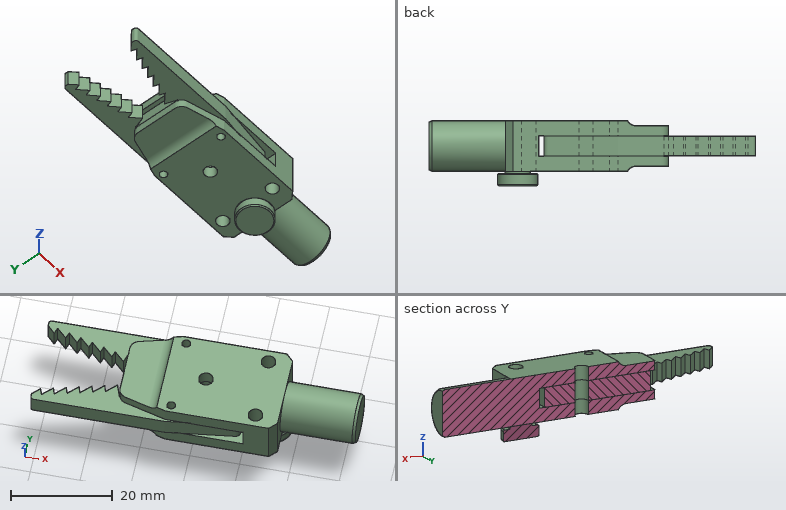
import cadquery as cq
import math


total_length = 64.3
housing_front = 17.1
housing_rear = 49.25
housing_width = 18.0
housing_height = 10.0
half_width = housing_width / 2
half_height = housing_height / 2

nose_taper_end = 27.0
nose_taper_angle = 15.0
nose_corner_radius = 2.0
nose_height = 8.0
nose_step_end = 25.2
nose_step_radius = 2.0
rear_corner_chamfer = 1.5

slot_end = 42.65
slot_height = 4.0

centre_hole_diameter = 2.8
centre_hole_x = 33.4
mounting_hole_diameter = 2.8
mounting_hole_x = 44.6
mounting_hole_y = 6.4
pivot_hole_diameter = 1.7
pivot_hole_x = 27.9
pivot_hole_y = 7.45

shank_diameter = housing_height
shank_chamfer_length = 0.6
shank_chamfer_depth = 0.3

jaw_thickness = 3.85
jaw_outer_y = 9.45
jaw_tip_radius = 0.65
jaw_tip_inner_y = 8.2
jaw_bend_x = 27.0
jaw_tail_end = 41.7
jaw_tail_angle = 7.5
jaw_tail_radius = 1.0

tooth_count = 7
first_tooth_x = 1.55
first_tooth_y = 6.7
tooth_pitch = 2.45
tooth_shift = 0.65
tooth_back_length = 0.45
tooth_back_rise = 1.3
last_tooth_back_scale = 2.0

spacer_front = 18.1
spacer_width = 10.8

knob_x = 46.8
knob_diameter = 8.0
knob_height = 2.5
knob_edge_chamfer = 0.25
collar_diameter = 5.0
collar_height = 0.4


def make_housing_block():
    """Plate outline with a tapered, rounded nose and chamfered rear corners."""
    taper_length = nose_taper_end - housing_front
    nose_half_width = half_width - taper_length * math.tan(math.radians(nose_taper_angle))
    block = (
        cq.Workplane("XY")
        .polyline([
            (housing_front, -nose_half_width),
            (nose_taper_end, -half_width),
            (housing_rear, -half_width),
            (housing_rear, half_width),
            (nose_taper_end, half_width),
            (housing_front, nose_half_width),
        ])
        .close()
        .extrude(half_height, both=True)
    )
    block = block.edges("|Z and <X").fillet(nose_corner_radius)
    return block.edges("|Z and >X").chamfer(rear_corner_chamfer)


def make_nose_step():
    """Material removed above the nose; its end is a concave arc tangent to the nose face."""
    nose_half_height = nose_height / 2
    step_depth = half_height - nose_half_height
    arc_length = math.sqrt(2 * nose_step_radius * step_depth - step_depth**2)
    arc_start = nose_step_end - arc_length
    arc_angle = math.asin(arc_length / nose_step_radius) / 2
    arc_middle = (
        arc_start + nose_step_radius * math.sin(arc_angle),
        nose_half_height + nose_step_radius * (1 - math.cos(arc_angle)),
    )
    return (
        cq.Workplane("XZ")
        .moveTo(housing_front, nose_half_height)
        .lineTo(arc_start, nose_half_height)
        .threePointArc(arc_middle, (nose_step_end, half_height))
        .lineTo(housing_front, half_height)
        .close()
        .extrude(half_width, both=True)
    )


def make_vertical_holes(diameter, centres):
    """Cutters for round holes that pass through the full housing height."""
    return cq.Workplane("XY").pushPoints(centres).circle(diameter / 2).extrude(half_height, both=True)


def make_shank():
    """Round shank behind the rear face, with a chamfered free end."""
    shank_length = total_length - housing_rear
    shank = cq.Workplane("YZ", origin=(housing_rear, 0, 0)).circle(shank_diameter / 2).extrude(shank_length)
    return shank.faces(">X").chamfer(shank_chamfer_length, shank_chamfer_depth)


def make_housing():
    housing = make_housing_block()

    upper_step = make_nose_step()
    housing = housing.cut(upper_step).cut(upper_step.mirror("XY"))

    slot_length = slot_end - housing_front
    slot = cq.Workplane("XY").box(slot_length, housing_width, slot_height)
    housing = housing.cut(slot.translate((housing_front + slot_length / 2, 0, 0)))

    mounting_centres = [(mounting_hole_x, side * mounting_hole_y) for side in (-1, 1)]
    pivot_centres = [(pivot_hole_x, side * pivot_hole_y) for side in (-1, 1)]
    housing = housing.cut(make_vertical_holes(centre_hole_diameter, [(centre_hole_x, 0)]))
    housing = housing.cut(make_vertical_holes(mounting_hole_diameter, mounting_centres))
    housing = housing.cut(make_vertical_holes(pivot_hole_diameter, pivot_centres))
    return housing.union(make_shank())


def make_tooth_points():
    """Tips and roots of the sawtooth edge, from the jaw tip towards the housing."""
    points = []
    for index in range(tooth_count):
        tip_x = first_tooth_x + index * tooth_pitch
        tip_y = first_tooth_y - index * tooth_shift
        is_last = index == tooth_count - 1
        back_scale = last_tooth_back_scale if is_last else 1
        points.append((tip_x, tip_y))
        points.append((tip_x + back_scale * tooth_back_length, tip_y + back_scale * tooth_back_rise))
    return points


def make_jaw(side):
    """Jaw on the +Y side (side = 1) or its mirror image on the -Y side (side = -1)."""
    tail_drop = (jaw_tail_end - jaw_bend_x) * math.tan(math.radians(jaw_tail_angle))
    outline = [
        (0, jaw_tip_inner_y),
        *make_tooth_points(),
        (jaw_tail_end, spacer_width / 2),
        (jaw_tail_end, jaw_outer_y - tail_drop),
        (jaw_bend_x, jaw_outer_y),
        (0, jaw_outer_y),
    ]
    jaw = (
        cq.Workplane("XY")
        .polyline([(x, side * y) for x, y in outline])
        .close()
        .extrude(jaw_thickness / 2, both=True)
    )
    outer_selector = ">Y" if side > 0 else "<Y"
    jaw = jaw.faces(">X").edges("|Z").edges(outer_selector).fillet(jaw_tail_radius)
    return jaw.faces("<X").edges("|Z").edges(outer_selector).fillet(jaw_tip_radius)


def make_spacer():
    """Block that fills the slot height between the jaws, pierced by the centre hole."""
    spacer_length = jaw_tail_end - spacer_front
    spacer = cq.Workplane("XY").box(spacer_length, spacer_width, slot_height)
    spacer = spacer.translate((spacer_front + spacer_length / 2, 0, 0))
    return spacer.cut(make_vertical_holes(centre_hole_diameter, [(centre_hole_x, 0)]))


def make_thumbscrew():
    """Knob with a short collar that seats against the housing underside."""
    knob_top = -half_height - collar_height
    knob = cq.Workplane("XY", origin=(knob_x, 0, knob_top)).circle(knob_diameter / 2).extrude(-knob_height)
    knob = knob.edges().chamfer(knob_edge_chamfer)
    collar = cq.Workplane("XY", origin=(knob_x, 0, knob_top)).circle(collar_diameter / 2).extrude(collar_height)
    return knob.union(collar)


housing = make_housing()
jaws = [make_jaw(side) for side in (-1, 1)]
spacer = make_spacer()
thumbscrew = make_thumbscrew()

result = cq.Compound.makeCompound([
    housing.val(),
    *[jaw.val() for jaw in jaws],
    spacer.val(),
    thumbscrew.val(),
])